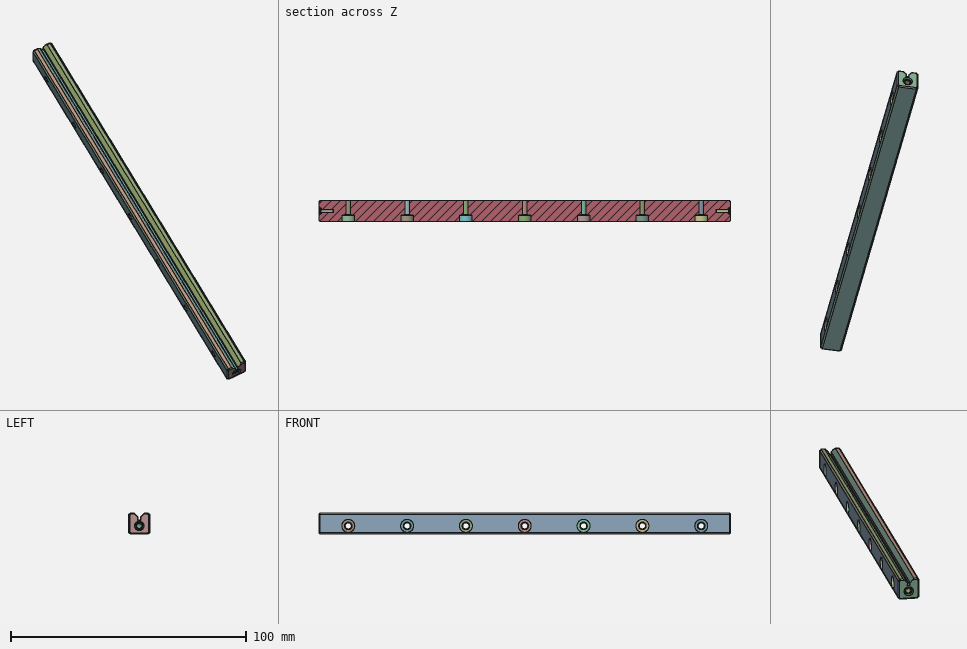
import cadquery as cq

LENGTH = 175.0
WIDTH = 9.0
HEIGHT = 9.0

LONG_CHAMFER = 0.7
END_CHAMFER = 0.5

GROOVE_HALF_WIDTH = 2.3
RELIEF_HALF_WIDTH = 0.6
RELIEF_DEPTH = 3.0
V_DEPTH = GROOVE_HALF_WIDTH - RELIEF_HALF_WIDTH

MOUNT_COUNT = 7
MOUNT_PITCH = 25.0
MOUNT_DIAMETER = 2.65
MOUNT_SINK_DIAMETER = 3.2
MOUNT_SINK_DEPTH = (MOUNT_SINK_DIAMETER - MOUNT_DIAMETER) / 2
COUNTERBORE_DIAMETER = 5.5
COUNTERBORE_DEPTH = 2.7

END_HOLE_DIAMETER = 2.26
END_HOLE_DEPTH = 6.0
DRILL_POINT_DEPTH = 0.65
END_STEP_DIAMETER = 3.0
END_STEP_DEPTH = 1.0
END_SINK_DIAMETER = 4.0
END_SINK_DEPTH = (END_SINK_DIAMETER - END_STEP_DIAMETER) / 2

HOLE_HEIGHT = 3.5

TOP = HEIGHT / 2
HOLE_Z = HOLE_HEIGHT - HEIGHT / 2


def cylinder(diameter, depth, start, direction):
    """Cylinder from a start point along a direction."""
    return cq.Solid.makeCylinder(diameter / 2, depth, start, direction)


def cone(start_diameter, finish_diameter, depth, start, direction):
    """Cone tapering from one diameter to another along a direction."""
    return cq.Solid.makeCone(start_diameter / 2, finish_diameter / 2, depth, start, direction)


def make_bar():
    """Rectangular bar with its long edges and both end outlines chamfered."""
    bar = cq.Workplane("XY").box(LENGTH, WIDTH, HEIGHT)
    bar = bar.edges("|X").chamfer(LONG_CHAMFER)
    return bar.faces("<X or >X").edges().chamfer(END_CHAMFER)


def make_groove():
    """Full-length cutter for the V groove and its relief slot."""
    outline = [
        (-GROOVE_HALF_WIDTH, TOP),
        (-RELIEF_HALF_WIDTH, TOP - V_DEPTH),
        (-RELIEF_HALF_WIDTH, TOP - RELIEF_DEPTH),
        (RELIEF_HALF_WIDTH, TOP - RELIEF_DEPTH),
        (RELIEF_HALF_WIDTH, TOP - V_DEPTH),
        (GROOVE_HALF_WIDTH, TOP),
    ]
    return cq.Workplane("YZ").polyline(outline).close().extrude(LENGTH / 2, both=True)


def make_mounting_hole(x):
    """Through hole along Y with a counterbore and a chamfered rim on its floor."""
    mouth = cq.Vector(x, -WIDTH / 2, HOLE_Z)
    inward = cq.Vector(0, 1, 0)
    floor = mouth + inward * COUNTERBORE_DEPTH
    through = cylinder(MOUNT_DIAMETER, WIDTH, mouth, inward)
    counterbore = cylinder(COUNTERBORE_DIAMETER, COUNTERBORE_DEPTH, mouth, inward)
    sink = cone(MOUNT_SINK_DIAMETER, MOUNT_DIAMETER, MOUNT_SINK_DEPTH, floor, inward)
    return through.fuse(counterbore, sink)


def make_end_hole(side):
    """Blind hole in the -X (side = -1) or +X (side = 1) end, with step, sink and drill point."""
    mouth = cq.Vector(side * LENGTH / 2, 0, HOLE_Z)
    inward = cq.Vector(-side, 0, 0)
    floor = mouth + inward * END_HOLE_DEPTH
    drill = cylinder(END_HOLE_DIAMETER, END_HOLE_DEPTH, mouth, inward)
    point = cone(END_HOLE_DIAMETER, 0, DRILL_POINT_DEPTH, floor, inward)
    step = cylinder(END_STEP_DIAMETER, END_STEP_DEPTH, mouth, inward)
    sink = cone(END_SINK_DIAMETER, END_STEP_DIAMETER, END_SINK_DEPTH, mouth, inward)
    return drill.fuse(point, step, sink)


result = make_bar().cut(make_groove())

for index in range(MOUNT_COUNT):
    hole_x = (index - (MOUNT_COUNT - 1) / 2) * MOUNT_PITCH
    result = result.cut(cq.Workplane(obj=make_mounting_hole(hole_x)))

for end_side in (-1, 1):
    result = result.cut(cq.Workplane(obj=make_end_hole(end_side)))